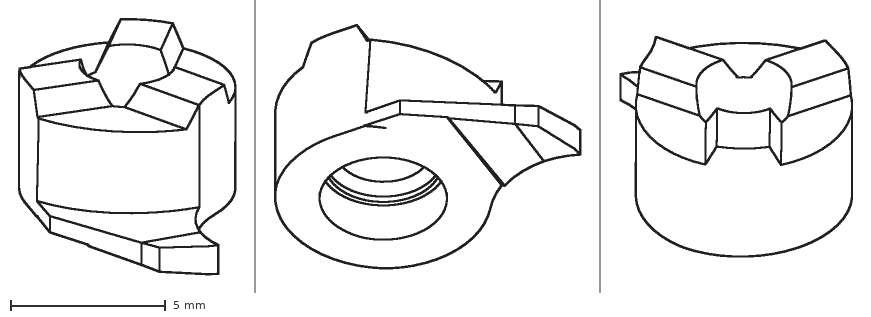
import cadquery as cq
import math

hub_radius = 3.5
bore_radius = 1.55
cone_top_z = 2.02
cone_height = 0.34
cone_radius = bore_radius + cone_height
counterbore_radius = 2.06
counterbore_depth = 1.45
deck_z = 3.58
top_z = 4.39
wall_radius = 5.51
wall_x = 3.72
wall_lean = 0.04
wall_y = 1.03
heel_start_x = -1.44
heel_rise = 0.09

tooth_top_width = 1.71
tooth_base_width = 2.45
tooth_angles = (30, 150, 270)

flat_end_x = 2.43
corner_x, corner_y = 6.19, -1.05
land_x, land_y = 6.75, 0.41
point_x, point_y = 6.8, 0.73
scoop_x = 5.66
scoop_y = 3.99
scoop_radius = math.hypot(scoop_x, scoop_y) - hub_radius

mid_z = 0.294
joint_x = 5.56
joint_half = 0.44
slope_x = 0.013
tip_slope_x = 0.037
slope_y = 0.032
relief_x = 3.71
reach = 10.3


def box(x_min, x_max, z_min, z_max):
    """Block across the whole width in Y."""
    size = (x_max - x_min, 2 * reach, z_max - z_min)
    return cq.Workplane("XY").box(*size, centered=False).translate((x_min, -reach, z_min))


def plan_prism():
    """Whole plan outline of hub and blade, extruded to full height and bored through."""
    height = top_z + reach
    blade = (
        cq.Workplane("XY")
        .moveTo(0, -hub_radius)
        .lineTo(flat_end_x, -hub_radius)
        .lineTo(corner_x, corner_y)
        .lineTo(land_x, land_y)
        .lineTo(point_x, point_y)
        .lineTo(scoop_x, scoop_y)
        .lineTo(0, 0)
        .close()
        .extrude(height)
    )
    scoop = cq.Workplane("XY").center(scoop_x, scoop_y).circle(scoop_radius).extrude(height)
    hub = cq.Workplane("XY").circle(hub_radius).extrude(height)
    bore = cq.Workplane("XY").circle(bore_radius).extrude(height)
    return hub.union(blade.cut(scoop)).cut(bore).translate((0, 0, -reach / 2))


def blade_slab(x_slope):
    """Slab between the two inclined blade faces, mirrored about mid_z."""
    normal = (-x_slope, -slope_y, 1)
    face = cq.Plane(origin=(joint_x, 0, mid_z + joint_half), xDir=(1, 0, x_slope), normal=normal)
    upper = cq.Workplane(face).rect(4 * reach, 4 * reach).extrude(-reach)
    lower = upper.mirror("XY", (0, 0, mid_z))
    return upper.intersect(lower)


def leaning_wall():
    """Cylinder bounding the hub, its axis leaning in Y."""
    plane = cq.Plane(
        origin=(wall_x - wall_radius, wall_y, deck_z), xDir=(1, 0, 0), normal=(0, -wall_lean, 1)
    )
    return cq.Workplane(plane).circle(wall_radius).extrude(reach, both=True)


def teeth():
    """Trapezoidal bars running outwards from the bore axis."""
    bars = cq.Workplane("XY")
    for angle in tooth_angles:
        bar = (
            cq.Workplane("YZ")
            .moveTo(-tooth_base_width / 2, deck_z)
            .lineTo(tooth_base_width / 2, deck_z)
            .lineTo(tooth_top_width / 2, top_z)
            .lineTo(-tooth_top_width / 2, top_z)
            .close()
            .extrude(reach)
            .rotate((0, 0, 0), (0, 0, 1), angle)
        )
        bars = bars.add(bar)
    return bars.combine()


def underside_relief():
    """Wedge removed where the hub underside rises towards -X."""
    return (
        cq.Workplane("XZ")
        .moveTo(heel_start_x, 0)
        .lineTo(-hub_radius, heel_rise)
        .lineTo(-hub_radius, -heel_rise)
        .close()
        .extrude(reach, both=True)
    )


def holder_blade():
    """Part of the blade between the hub and the tip."""
    inner = box(-reach, joint_x, 0, deck_z)
    drop = (
        cq.Workplane("XZ")
        .moveTo(relief_x, 0)
        .lineTo(relief_x + mid_z, -mid_z)
        .lineTo(joint_x, -mid_z)
        .lineTo(joint_x, 0)
        .close()
        .extrude(reach, both=True)
    )
    right_half = box(0, joint_x, -reach, reach)
    space = inner.union(drop).intersect(right_half)
    return plan_prism().intersect(space).intersect(blade_slab(slope_x))


def bore_opening():
    """Wider lower end of the bore: counterbore, short step and cone."""
    cone_base_z = cone_top_z - cone_height
    return (
        cq.Workplane("XZ")
        .moveTo(0, 0)
        .lineTo(counterbore_radius, 0)
        .lineTo(counterbore_radius, counterbore_depth)
        .lineTo(cone_radius, counterbore_depth)
        .lineTo(cone_radius, cone_base_z)
        .lineTo(bore_radius, cone_top_z)
        .lineTo(0, cone_top_z)
        .close()
        .revolve(360, (0, 0, 0), (0, 1, 0))
    )


def make_holder():
    hub_space = box(-reach, reach, 0, deck_z).union(teeth())
    hub = plan_prism().intersect(hub_space).intersect(leaning_wall())
    return hub.union(holder_blade()).cut(underside_relief()).cut(bore_opening())


def make_tip():
    tip_space = box(joint_x, reach, -reach, reach)
    return plan_prism().intersect(blade_slab(tip_slope_x)).intersect(tip_space)


holder = make_holder()
tip = make_tip()
result = cq.Compound.makeCompound([holder.val(), tip.val()])